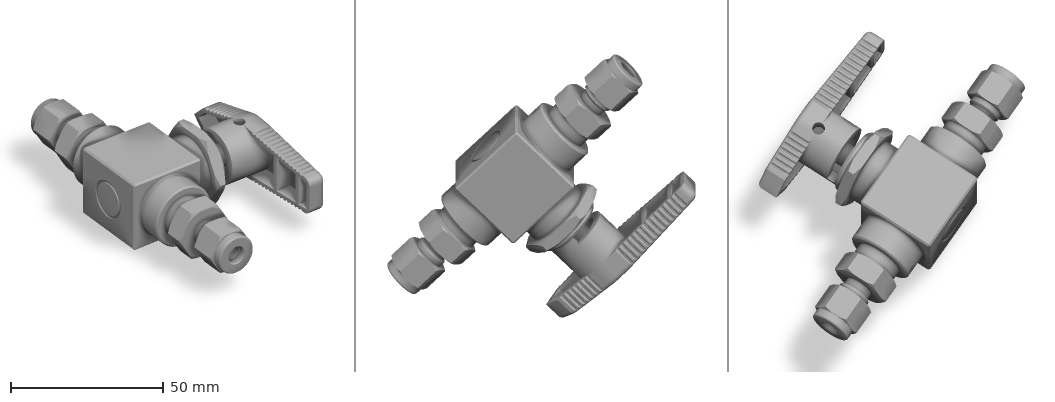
import cadquery as cq
import math


BLOCK_LENGTH = 28.8
BLOCK_DEPTH = 27.5
BLOCK_HEIGHT = 25.7
BLOCK_CHAMFER = 0.6
RING_GROOVE_DIA = 13.8
RING_GROOVE_WIDTH = 0.9
RING_GROOVE_DEPTH = 0.5

FLANGE_DIA = 22.4
FLANGE_END = 23.3
FLANGE_CHAMFER = 0.5
FLANGE_ROOT_FILLET = 0.6
NECK_DIA = 15.8
BODY_HEX_START = 27.6
BODY_HEX_END = 35.1
BODY_HEX_FLATS = 17.7
TUBE_DIA = 9.4
CONE_START = 37.3
CONE_END = 38.0
COLLAR_DIA = 11.1
NUT_HEX_START = 39.8
NUT_HEX_END = 49.5
NUT_HEX_FLATS = 14.3
END_DIA = 13.8
END_FILLET = 0.6
PORT_END = 52.5
NECK_ROOT_FILLET = 0.6
HEX_CORNER_TRIM = 0.89
BORE_DIA = 4.8
MOUTH_DIA = 6.0
MOUTH_DEPTH = 2.3
MOUTH_CHAMFER = 0.4

BONNET_DIA = 22.2
BONNET_END = 26.5
BONNET_CHAMFER = 0.9
STEM_DIA = 7.8
STEM_END = 39.8

PANEL_NUT_START = 19.9
PANEL_NUT_END = 23.8
PANEL_NUT_FLATS = 26.9

HUB_DIA = 20.1
HUB_START = 29.6
HUB_RECESS_DIA = 13.8
HUB_RECESS_DEPTH = 3.2
STOP_START = 26.8
GRIP_START = 39.8
CROWN_X = 5.3
CROWN_Y = 48.0
TIP_Y = 47.6
TAIL_DROP_ANGLE = 3.0
SHORT_ARM = 25.0
LONG_ARM = 38.9
SHORT_ARM_TAPER = 15.0
LONG_ARM_TAPER = 5.0
TIP_SLANT_LENGTH = 5.1
TAIL_CORNER_RADIUS = 2.6
GRIP_TOP_FILLET = 1.9
GRIP_WALL = 1.8
RIB_THICKNESS = 1.6
RIB_POSITIONS = (19.9, 32.0)
LOCK_HOLE_DIA = 4.2
LOCK_HOLE_FLOOR_Z = 5.3
SERRATION_MOUTH = 1.5
SERRATION_FLOOR = 0.6
SERRATION_DEPTH = 0.5
SERRATION_CLEARANCE = 0.2
SERRATION_PITCH = 2.02
SHORT_ARM_SERRATIONS = 7
SHORT_ARM_FIRST_X = -6.1
LONG_ARM_SERRATIONS = 14
LONG_ARM_FIRST_X = 7.9


def cylinder_x(diameter, start, end):
    return cq.Workplane("YZ", origin=(start, 0, 0)).circle(diameter / 2).extrude(end - start)


def cylinder_y(diameter, start, end):
    return cq.Workplane("XZ", origin=(0, start, 0)).circle(diameter / 2).extrude(start - end)


def chamfered_hex(flats, length):
    """Hexagon along +Z from the origin, flats facing Y, both ends chamfered to a cone."""
    corners = flats / math.cos(math.pi / 6)
    trim_radius = HEX_CORNER_TRIM * corners / 2
    trim_height = (corners / 2 - trim_radius) * math.tan(math.pi / 6)
    hexagon = cq.Workplane("XY").polygon(6, corners).extrude(length)
    envelope = (
        cq.Workplane("XZ")
        .moveTo(0, 0)
        .lineTo(trim_radius, 0)
        .lineTo(corners / 2, trim_height)
        .lineTo(corners / 2, length - trim_height)
        .lineTo(trim_radius, length)
        .lineTo(0, length)
        .close()
        .revolve(360, (0, 0, 0), (0, 1, 0))
    )
    return hexagon.intersect(envelope)


def hex_x(flats, start, end):
    """Chamfered hexagon along X with its corners facing Y."""
    hexagon = chamfered_hex(flats, end - start).rotate((0, 0, 0), (0, 0, 1), 90)
    return hexagon.rotate((0, 0, 0), (0, 1, 0), 90).translate((start, 0, 0))


def root_fillet(diameter, wall_x, size):
    """Concave fillet ring between a cylinder along X and a wall; its size is signed along X."""
    radius = diameter / 2
    sag = abs(size) * (1 - math.sqrt(0.5))
    return (
        cq.Workplane("XY")
        .moveTo(wall_x, 0)
        .lineTo(wall_x, radius + abs(size))
        .threePointArc((wall_x + math.copysign(sag, size), radius + sag), (wall_x + size, radius))
        .lineTo(wall_x + size, 0)
        .close()
        .revolve(360, (0, 0, 0), (1, 0, 0))
    )


def make_port():
    """Tube fitting on the +X side, still solid."""
    flange = cylinder_x(FLANGE_DIA, BLOCK_LENGTH / 2, FLANGE_END).faces(">X").chamfer(FLANGE_CHAMFER)
    flange = flange.union(root_fillet(FLANGE_DIA, BLOCK_LENGTH / 2, FLANGE_ROOT_FILLET))
    neck = cylinder_x(NECK_DIA, FLANGE_END, BODY_HEX_START)
    neck = neck.union(root_fillet(NECK_DIA, BODY_HEX_START, -NECK_ROOT_FILLET))
    body_hex = hex_x(BODY_HEX_FLATS, BODY_HEX_START, BODY_HEX_END)
    spigot = (
        cq.Workplane("XY")
        .moveTo(BODY_HEX_END, 0)
        .lineTo(BODY_HEX_END, TUBE_DIA / 2)
        .lineTo(CONE_START, TUBE_DIA / 2)
        .lineTo(CONE_END, COLLAR_DIA / 2)
        .lineTo(NUT_HEX_START, COLLAR_DIA / 2)
        .lineTo(NUT_HEX_START, 0)
        .close()
        .revolve(360, (0, 0, 0), (1, 0, 0))
    )
    nut_hex = hex_x(NUT_HEX_FLATS, NUT_HEX_START, NUT_HEX_END)
    end_ring = cylinder_x(END_DIA, NUT_HEX_END, PORT_END).faces(">X").edges().fillet(END_FILLET)
    return flange.union(neck).union(body_hex).union(spigot).union(nut_hex).union(end_ring)


def make_mouth():
    """Tool for the wider tube socket at the +X port end."""
    socket = cylinder_x(MOUTH_DIA, PORT_END - MOUTH_DEPTH, PORT_END)
    flare = (
        cylinder_x(MOUTH_DIA + 2 * MOUTH_CHAMFER, PORT_END - MOUTH_CHAMFER, PORT_END)
        .faces("<X")
        .chamfer(MOUTH_CHAMFER * 0.999)
    )
    return socket.union(flare)


def make_body():
    body = cq.Workplane("XY").box(BLOCK_LENGTH, BLOCK_DEPTH, BLOCK_HEIGHT).edges().chamfer(BLOCK_CHAMFER)

    face_y = -BLOCK_DEPTH / 2
    groove = cylinder_y(RING_GROOVE_DIA, face_y, face_y + RING_GROOVE_DEPTH).cut(
        cylinder_y(RING_GROOVE_DIA - 2 * RING_GROOVE_WIDTH, face_y, face_y + RING_GROOVE_DEPTH)
    )
    body = body.cut(groove)

    bonnet = cylinder_y(BONNET_DIA, 0, BONNET_END).faces(">Y").chamfer(BONNET_CHAMFER)
    body = body.union(bonnet).union(cylinder_y(STEM_DIA, BONNET_END, STEM_END))

    port = make_port()
    mouth = make_mouth()
    for side_angle in (0, 180):
        body = body.union(port.rotate((0, 0, 0), (0, 0, 1), side_angle))
        body = body.cut(mouth.rotate((0, 0, 0), (0, 0, 1), side_angle))
    return body.cut(cylinder_x(BORE_DIA, -PORT_END, PORT_END))


def make_panel_nut():
    nut = chamfered_hex(PANEL_NUT_FLATS, PANEL_NUT_END - PANEL_NUT_START)
    nut = nut.rotate((0, 0, 0), (1, 0, 0), -90).translate((0, PANEL_NUT_START, 0))
    return nut.cut(cylinder_y(BONNET_DIA, PANEL_NUT_START, PANEL_NUT_END))


def edge_half_width(x):
    """Half width of the grip at x, on the straight sides tangent to the hub."""
    angle = math.radians(LONG_ARM_TAPER if x > 0 else SHORT_ARM_TAPER)
    return (HUB_DIA / 2 - abs(x) * math.sin(angle)) / math.cos(angle)


def grip_outline():
    """Grip in the XZ plane: pointed at the short end, square at the long end."""
    shoulder_x = TIP_SLANT_LENGTH - SHORT_ARM
    radius = HUB_DIA / 2
    right_x = radius * math.sin(math.radians(LONG_ARM_TAPER))
    right_z = radius * math.cos(math.radians(LONG_ARM_TAPER))
    left_x = -radius * math.sin(math.radians(SHORT_ARM_TAPER))
    left_z = radius * math.cos(math.radians(SHORT_ARM_TAPER))
    tail_z = edge_half_width(LONG_ARM)
    return (
        cq.Workplane("XZ")
        .moveTo(-SHORT_ARM, 0)
        .lineTo(shoulder_x, edge_half_width(shoulder_x))
        .lineTo(left_x, left_z)
        .threePointArc((0, radius), (right_x, right_z))
        .lineTo(LONG_ARM, tail_z)
        .lineTo(LONG_ARM, -tail_z)
        .lineTo(right_x, -right_z)
        .threePointArc((0, -radius), (left_x, -left_z))
        .lineTo(shoulder_x, -edge_half_width(shoulder_x))
        .close()
    )


def side_profile(offset):
    """Slab between the grip underside and its top lowered by the offset, wide in Z."""
    tail_y = CROWN_Y - (LONG_ARM - CROWN_X) * math.tan(math.radians(TAIL_DROP_ANGLE))
    return (
        cq.Workplane("XY")
        .moveTo(-SHORT_ARM, GRIP_START)
        .lineTo(-SHORT_ARM, TIP_Y - offset)
        .lineTo(CROWN_X, CROWN_Y - offset)
        .lineTo(LONG_ARM, tail_y - offset)
        .lineTo(LONG_ARM, GRIP_START)
        .close()
        .extrude(HUB_DIA, both=True)
    )


def serration_row(first_x, taper, count):
    """Upright trapezoid grooves along the +Z side of one arm, from first_x away from the hub."""
    direction = math.copysign(1, first_x)
    step = direction * SERRATION_PITCH * math.cos(math.radians(taper))
    slope = (SERRATION_MOUTH - SERRATION_FLOOR) / 2 / SERRATION_DEPTH
    outer_half = SERRATION_MOUTH / 2 + SERRATION_CLEARANCE * slope
    floor_half = SERRATION_FLOOR / 2
    height = CROWN_Y - GRIP_START
    cutter = (
        cq.Workplane("XZ")
        .moveTo(-outer_half, SERRATION_CLEARANCE)
        .lineTo(outer_half, SERRATION_CLEARANCE)
        .lineTo(floor_half, -SERRATION_DEPTH)
        .lineTo(-floor_half, -SERRATION_DEPTH)
        .close()
        .extrude(-height)
        .rotate((0, 0, 0), (0, 1, 0), direction * taper)
    )
    row = cq.Workplane("XY")
    for index in range(count):
        x = first_x + index * step
        row = row.add(cutter.translate((x, GRIP_START, edge_half_width(x))))
    return row


def make_grip():
    height = CROWN_Y - GRIP_START
    start = (0, GRIP_START, 0)
    prism = grip_outline().extrude(-height).translate(start)
    grip = prism.edges("|Y").edges(">X").fillet(TAIL_CORNER_RADIUS).intersect(side_profile(0))
    grip = grip.edges(cq.selectors.BoxSelector((-104, 44.1, -104), (104, 104, 104))).edges("not |Z").edges("not |Y")
    grip = grip.fillet(GRIP_TOP_FILLET)

    pocket = grip_outline().offset2D(-GRIP_WALL).extrude(-height).translate(start)
    pocket = pocket.intersect(side_profile(GRIP_WALL)).cut(cylinder_y(HUB_DIA, GRIP_START, CROWN_Y))
    for rib_x in RIB_POSITIONS:
        rib = cq.Workplane("XY").box(RIB_THICKNESS, height, HUB_DIA)
        pocket = pocket.cut(rib.translate((rib_x, GRIP_START + height / 2, 0)))
    grip = grip.cut(pocket)

    short_row = serration_row(SHORT_ARM_FIRST_X, SHORT_ARM_TAPER, SHORT_ARM_SERRATIONS)
    long_row = serration_row(LONG_ARM_FIRST_X, LONG_ARM_TAPER, LONG_ARM_SERRATIONS)
    for cutter in short_row.vals() + long_row.vals():
        grip = grip.cut(cq.Workplane(cutter)).cut(cq.Workplane(cutter.mirror("XY")))
    return grip


def make_handle():
    stop_length = HUB_START - STOP_START
    quadrant = cq.Workplane("XY").box(HUB_DIA, stop_length, HUB_DIA, centered=(False, False, False))
    quadrant = quadrant.translate((-HUB_DIA, STOP_START, -HUB_DIA))
    stop = cylinder_y(HUB_DIA, STOP_START, HUB_START).intersect(quadrant)
    lock_hole = cq.Workplane("XY", origin=(0, GRIP_START, LOCK_HOLE_FLOOR_Z))
    lock_hole = lock_hole.circle(LOCK_HOLE_DIA / 2).extrude(HUB_DIA)

    hub = cylinder_y(HUB_DIA, HUB_START, GRIP_START).union(stop).cut(lock_hole)
    hub = hub.cut(cylinder_y(HUB_RECESS_DIA, STOP_START, HUB_START + HUB_RECESS_DEPTH))
    hub = hub.cut(cylinder_y(STEM_DIA, STOP_START, STEM_END))
    return make_grip().cut(lock_hole).union(hub, clean=True)


body = make_body()
panel_nut = make_panel_nut()
handle = make_handle()

result = cq.Compound.makeCompound([body.val(), panel_nut.val(), handle.val()])